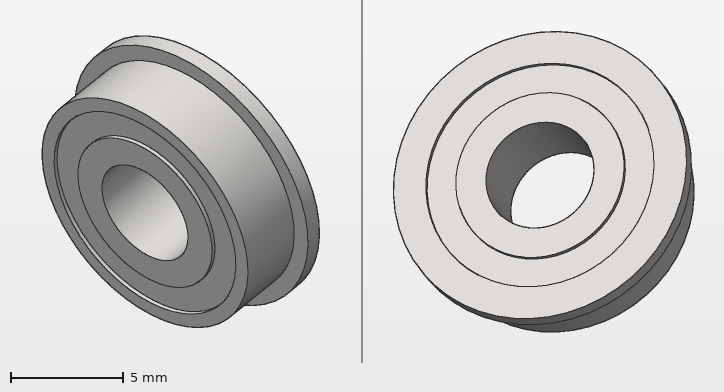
import cadquery as cq

flange_diameter = 13.58
body_diameter = 11.98
shield_outer_diameter = 10.57
shield_inner_diameter = 7.8
bore_diameter = 5.0
width = 3.99
flange_width = 0.8
shield_recess = 0.2

front_face = -width / 2
back_face = width / 2
flange_shoulder = back_face - flange_width

flange_radius = flange_diameter / 2
body_radius = body_diameter / 2
shield_outer_radius = shield_outer_diameter / 2
shield_inner_radius = shield_inner_diameter / 2
bore_radius = bore_diameter / 2

half_section = [
    (front_face, bore_radius),
    (front_face, shield_inner_radius),
    (front_face + shield_recess, shield_inner_radius),
    (front_face + shield_recess, shield_outer_radius),
    (front_face, shield_outer_radius),
    (front_face, body_radius),
    (flange_shoulder, body_radius),
    (flange_shoulder, flange_radius),
    (back_face, flange_radius),
    (back_face, shield_outer_radius),
    (back_face - shield_recess, shield_outer_radius),
    (back_face - shield_recess, shield_inner_radius),
    (back_face, shield_inner_radius),
    (back_face, bore_radius),
]

result = cq.Workplane("YZ").polyline(half_section).close().revolve(360, (0, 0, 0), (1, 0, 0))